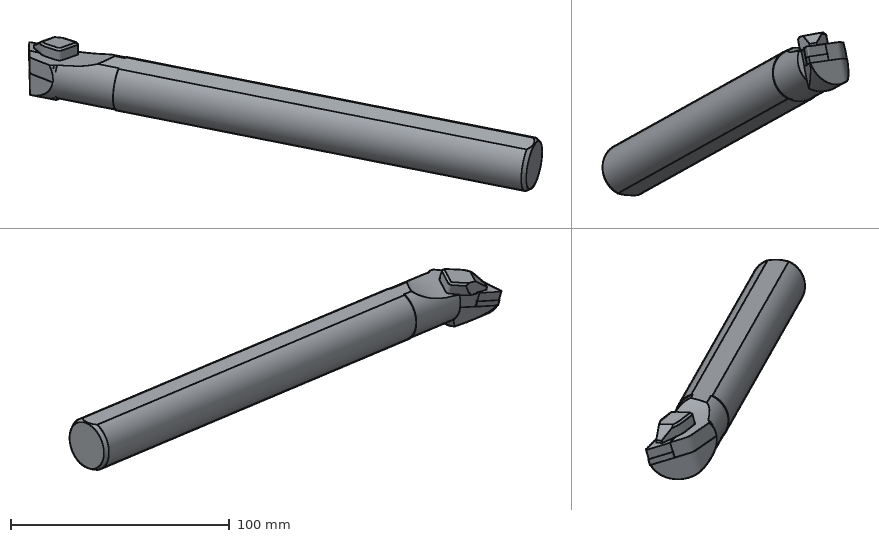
import cadquery as cq
import math

TOTAL_LENGTH = 250.0
SHANK_RADIUS = 12.5
FLAT_HEIGHT = 11.5
END_CHAMFER_LENGTH = 2.0
END_CHAMFER_DEPTH = 1.2
NECK_RADIUS = 12.2
NECK_END = 50.5

HEAD_RADIUS = 14.5
HEAD_OFFSET_Y = 2.2
HEAD_START = -2.5
HEAD_END = 20.8
SHOULDER_LENGTH = 1.2

TIP = (-0.2, 17.2, 0.5)
TILT_ABOUT_Y = -6.0
TILT_ABOUT_X = -14.0

INSERT_EDGE = 11.8
INSERT_THICKNESS = 4.8
INSERT_POINT_ANGLE = 55.0
INSERT_NOSE_RADIUS = 0.5
LEAD_ANGLE = 17.5
FRONT_EDGE_ANGLE = LEAD_ANGLE - 90
BACK_EDGE_ANGLE = FRONT_EDGE_ANGLE + INSERT_POINT_ANGLE
SHIM_THICKNESS = 3.0
SHIM_INSET = 0.12
UPPER_SETBACK = 0.38
LOWER_SETBACK = 0.2

CORNER_FACE_ANGLE = 32.0
CORNER_FACE_DISTANCE = 13.8
CORNER_BLEND_RADIUS = 5.2

GULLET_FLAT_END = 28.8
GULLET_RUN_OUT = (50.0, 4.0)
GULLET_RUN_OUT_ANGLE = 22.0

CLAMP_AXIS_ANGLE = -27.0
CLAMP_TIP = 7.8
CLAMP_END = 29.0
CLAMP_HEIGHT = 5.8
CLAMP_CENTRE = -2.5
CLAMP_WIDTH = 13.0
CLAMP_TIP_WIDTH = 4.0
CLAMP_TAPER_ANGLE = 24.0
CLAMP_BLEND_RADIUS = 10.0
CLAMP_ROOT = 0.5
CLAMP_CORNER_RADIUS = 1.8
CLAMP_CHAMFER = 1.0
NOSE_SLOPE_START = 15.5
NOSE_SLOPE_ANGLE = 30.0
CLAMP_BACK_Y = 13.2

BIG = 100.0


def polar(length, angle):
    """Point at a distance and an angle in degrees from the origin."""
    return length * math.cos(math.radians(angle)), length * math.sin(math.radians(angle))


def inset_corner(inset):
    """Corner behind the tip that lies at a distance `inset` from both insert flanks."""
    half_point = INSERT_POINT_ANGLE / 2
    return polar(inset / math.sin(math.radians(half_point)), FRONT_EDGE_ANGLE + half_point)


def to_seat(body):
    """Move a body from the flat seat frame to its tilted place on the bar."""
    tilted = body.rotate((0, 0, 0), (0, 1, 0), TILT_ABOUT_Y).rotate((0, 0, 0), (1, 0, 0), TILT_ABOUT_X)
    return tilted.translate(TIP)


def cylinder_along_x(radius, start, end, centre_y=0.0):
    return cq.Workplane("YZ", origin=(start, centre_y, 0)).circle(radius).extrude(end - start)


def diamond(thickness):
    """Sharp-cornered insert plate with its top at Z = 0 and its point at the origin."""
    front = polar(INSERT_EDGE, FRONT_EDGE_ANGLE)
    back = polar(INSERT_EDGE, BACK_EDGE_ANGLE)
    opposite = (front[0] + back[0], front[1] + back[1])
    return cq.Workplane("XY").polyline([(0, 0), front, opposite, back]).close().extrude(-thickness)


def make_insert():
    return to_seat(diamond(INSERT_THICKNESS).edges("|Z").fillet(INSERT_NOSE_RADIUS))


def make_shank():
    shank = cylinder_along_x(SHANK_RADIUS, NECK_END, TOTAL_LENGTH)
    shank = shank.faces(">X").chamfer(END_CHAMFER_LENGTH, END_CHAMFER_DEPTH)
    return shank.intersect(cq.Workplane("XY").box(3 * TOTAL_LENGTH, BIG, 2 * FLAT_HEIGHT))


def make_neck():
    neck = cylinder_along_x(NECK_RADIUS, HEAD_END + SHOULDER_LENGTH, NECK_END)
    below_flat = cq.Workplane("XY").box(2 * BIG, BIG, BIG).translate((0, 0, FLAT_HEIGHT - BIG / 2))
    return neck.intersect(below_flat)


def head_outline(setback, bottom, top):
    """Slab of the head between two heights of the seat, bounded by both flanks and the corner face."""
    corner = inset_corner(setback)
    normal = polar(1, 270 - CORNER_FACE_ANGLE)
    front = polar(1, FRONT_EDGE_ANGLE)
    gap = CORNER_FACE_DISTANCE - setback - corner[0] * normal[0] - corner[1] * normal[1]
    run = gap / (front[0] * normal[0] + front[1] * normal[1])
    bend = (corner[0] + run * front[0], corner[1] + run * front[1])
    along_corner = polar(BIG, -CORNER_FACE_ANGLE)
    along_back = polar(BIG, BACK_EDGE_ANGLE)
    points = [
        corner,
        bend,
        (bend[0] + along_corner[0], bend[1] + along_corner[1]),
        (corner[0] + along_back[0], corner[1] + along_back[1]),
    ]
    slab = cq.Workplane("XY", origin=(0, 0, bottom)).polyline(points).close().extrude(top - bottom)
    bend_edge = cq.selectors.NearestToPointSelector((bend[0], bend[1], (bottom + top) / 2))
    return to_seat(slab.edges(bend_edge).fillet(CORNER_BLEND_RADIUS))


def make_head():
    blank = cylinder_along_x(HEAD_RADIUS, HEAD_START, HEAD_END, HEAD_OFFSET_Y)
    shoulder = (
        cq.Workplane("YZ", origin=(HEAD_END, HEAD_OFFSET_Y, 0))
        .circle(HEAD_RADIUS)
        .workplane(offset=SHOULDER_LENGTH)
        .center(-HEAD_OFFSET_Y, 0)
        .circle(NECK_RADIUS)
        .loft()
    )
    shim_bottom = -INSERT_THICKNESS - SHIM_THICKNESS
    upper = head_outline(UPPER_SETBACK, shim_bottom, BIG)
    lower = head_outline(LOWER_SETBACK, -BIG, shim_bottom)
    return blank.union(shoulder).intersect(upper.union(lower))


def gullet():
    """Everything above the insert top plane, ending in a curve that rises to the bar surface."""
    level = (1, 0)
    profile = (
        cq.Workplane("XZ", origin=(0, BIG / 2, 0))
        .moveTo(-BIG, 0)
        .spline(
            [(GULLET_FLAT_END, 0), GULLET_RUN_OUT],
            tangents=[level, level, polar(1, GULLET_RUN_OUT_ANGLE)],
            includeCurrent=True,
        )
        .lineTo(GULLET_RUN_OUT[0], BIG)
        .lineTo(-BIG, BIG)
        .close()
    )
    return to_seat(profile.extrude(2 * BIG))


def make_clamp():
    """Clamp with a tapered, sloping nose; it is laid out flat, then turned and set on the seat."""
    half_width = CLAMP_WIDTH / 2
    half_tip = CLAMP_TIP_WIDTH / 2
    bend = CLAMP_TIP + (half_width - half_tip) / math.tan(math.radians(CLAMP_TAPER_ANGLE))
    near_side = [(CLAMP_TIP, -half_tip), (bend, -half_width), (CLAMP_END, -half_width)]
    far_side = [(x, -y) for x, y in reversed(near_side)]
    block = cq.Workplane("XY", origin=(0, 0, -CLAMP_ROOT)).polyline(near_side + far_side).close()
    block = block.extrude(CLAMP_ROOT + CLAMP_HEIGHT)
    for side in (-half_width, half_width):
        block = block.edges(cq.selectors.NearestToPointSelector((bend, side, 0))).fillet(CLAMP_BLEND_RADIUS)
    block = block.edges("|Z and >X").fillet(CLAMP_CORNER_RADIUS)
    block = block.faces(">Z").chamfer(CLAMP_CHAMFER)
    drop = BIG * math.tan(math.radians(NOSE_SLOPE_ANGLE))
    slope = (
        cq.Workplane("XZ", origin=(0, BIG / 2, 0))
        .polyline(
            [
                (NOSE_SLOPE_START, CLAMP_HEIGHT),
                (NOSE_SLOPE_START - BIG, CLAMP_HEIGHT - drop),
                (NOSE_SLOPE_START - BIG, CLAMP_HEIGHT),
            ]
        )
        .close()
        .extrude(BIG)
    )
    block = block.cut(slope).translate((0, CLAMP_CENTRE, 0))
    block = to_seat(block.rotate((0, 0, 0), (0, 0, 1), CLAMP_AXIS_ANGLE))
    behind = cq.Workplane("XY").box(BIG, BIG, BIG).translate((0, CLAMP_BACK_Y + BIG / 2, 0))
    return block.cut(behind)


def make_shim():
    """Plate under the insert, moved back so that it is inset from both cutting flanks."""
    corner = inset_corner(SHIM_INSET)
    return to_seat(diamond(SHIM_THICKNESS).translate((corner[0], corner[1], -INSERT_THICKNESS)))


def make_holder(insert):
    """Bar, head, shim and clamp as one body, with a pocket that fits the insert."""
    bar = make_head().union(make_neck()).union(make_shank()).cut(gullet())
    return bar.union(make_shim()).union(make_clamp()).cut(insert)


insert = make_insert()
holder = make_holder(insert)

result = cq.Compound.makeCompound([holder.solids().val(), insert.solids().val()])